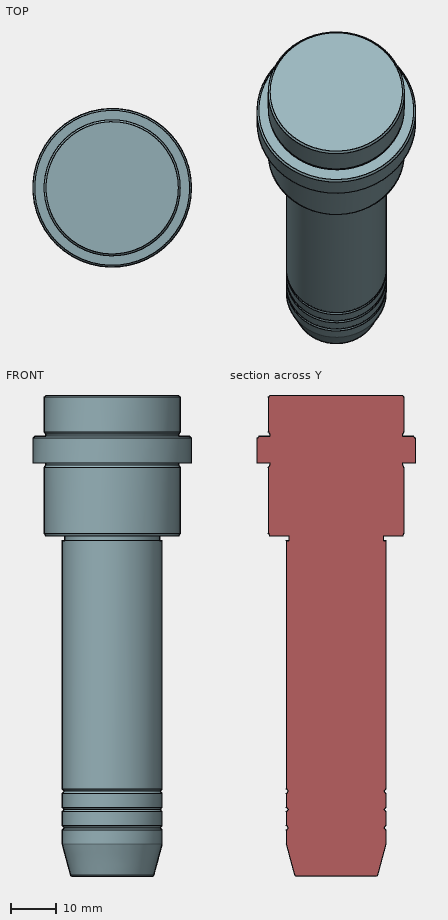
import cadquery as cq
import math

total_length = 106.0
shank_radius = 11.0
head_radius = 15.0
flange_radius = 17.5

flange_top = 97.0
flange_thickness = 5.9
flange_bottom = flange_top - flange_thickness
head_bottom = 74.9
edge_chamfer = 0.4
head_bottom_chamfer_height = 0.6
head_bottom_chamfer_width = 0.3

relief_width = 1.0
relief_depth = 0.3
relief_slope_height = 0.5
neck_depth = 0.5

ring_groove_count = 3
ring_groove_pitch = 4.0
first_ring_groove_height = 10.7
ring_groove_width = 1.0
ring_groove_depth = 0.4

taper_top = 7.1
taper_angle = 15.0
tip_radius = shank_radius - taper_top * math.tan(math.radians(taper_angle))
tip_fillet = 0.5


def cylinder(radius, bottom, top):
    return cq.Workplane("XY").workplane(offset=bottom).circle(radius).extrude(top - bottom)


def neck_groove():
    """Square ring cutter at the top of the shank."""
    bottom = head_bottom - relief_width
    outside = cylinder(shank_radius, bottom, head_bottom)
    return outside.cut(cylinder(shank_radius - neck_depth, bottom, head_bottom))


def sloped_groove(flange_face, direction):
    """Ring cutter against a flange face, with its far wall sloping out to the head face."""
    floor_radius = head_radius - relief_depth
    far_edge = flange_face + direction * relief_width
    floor_end = far_edge - direction * relief_slope_height
    return (
        cq.Workplane("XZ")
        .moveTo(head_radius, flange_face)
        .lineTo(floor_radius, flange_face)
        .lineTo(floor_radius, floor_end)
        .lineTo(head_radius, far_edge)
        .close()
        .revolve(360, (0, 0, 0), (0, 1, 0))
    )


def vee_groove(middle):
    """Ring cutter with a V section, opening at the shank face."""
    half_width = ring_groove_width / 2
    return (
        cq.Workplane("XZ")
        .moveTo(shank_radius, middle - half_width)
        .lineTo(shank_radius - ring_groove_depth, middle)
        .lineTo(shank_radius, middle + half_width)
        .close()
        .revolve(360, (0, 0, 0), (0, 1, 0))
    )


def make_tip():
    tip = (
        cq.Workplane("XY")
        .circle(tip_radius)
        .extrude(taper_top, taper=-taper_angle)
    )
    return tip.faces("<Z").edges().fillet(tip_fillet)


def make_shank():
    shank = cylinder(shank_radius, taper_top, head_bottom)
    for index in range(ring_groove_count):
        shank = shank.cut(vee_groove(first_ring_groove_height + index * ring_groove_pitch))
    return shank.cut(neck_groove())


def make_head():
    head = cylinder(head_radius, head_bottom, total_length)
    head = head.faces(">Z").edges().chamfer(edge_chamfer)
    head = head.faces("<Z").edges().chamfer(head_bottom_chamfer_height, head_bottom_chamfer_width)
    head = head.cut(sloped_groove(flange_top, 1))
    head = head.cut(sloped_groove(flange_bottom, -1))
    flange = cylinder(flange_radius, flange_bottom, flange_top)
    flange = flange.faces(">Z").edges().chamfer(edge_chamfer)
    return head.union(flange)


result = make_tip().union(make_shank()).union(make_head())